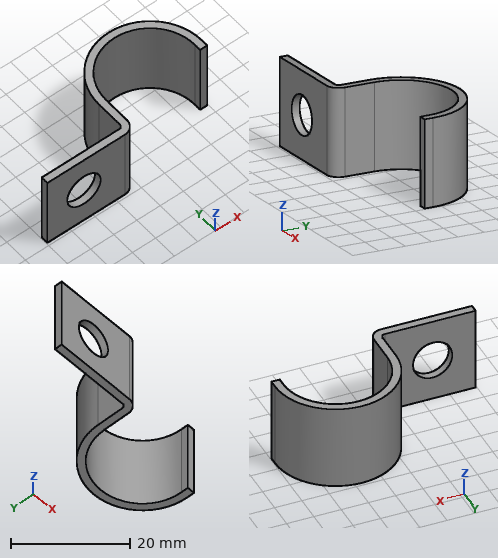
import cadquery as cq

length = 39.6
depth = 18.95
width = 15.88
thickness = 1.55
hoop_radius = 11.1
bend_inner_radius = 0.7
free_end_length = 1.5
hole_diameter = 7.15
hole_from_end = 7.9

hoop_inner_radius = hoop_radius - thickness
hoop_x = length - hoop_radius
hoop_y = depth - hoop_radius
wall_outer_x = hoop_x - hoop_radius
wall_inner_x = wall_outer_x + thickness
free_inner_x = length - thickness
free_end_y = hoop_y - free_end_length
bend_outer_radius = bend_inner_radius + thickness


def strap_body():
    """Bent strip: flat tab, standing wall and half-round hoop with a short free end."""
    outline = (
        cq.Workplane("XY")
        .moveTo(0, 0)
        .lineTo(wall_inner_x, 0)
        .lineTo(wall_inner_x, hoop_y)
        .threePointArc((hoop_x, hoop_y + hoop_inner_radius), (free_inner_x, hoop_y))
        .lineTo(free_inner_x, free_end_y)
        .lineTo(length, free_end_y)
        .lineTo(length, hoop_y)
        .threePointArc((hoop_x, depth), (wall_outer_x, hoop_y))
        .lineTo(wall_outer_x, thickness)
        .lineTo(0, thickness)
        .close()
    )
    return outline.extrude(width)


def round_bend(body):
    """Round both sides of the corner between tab and wall about one centre."""
    outer_corner = cq.selectors.NearestToPointSelector((wall_inner_x, 0, width / 2))
    inner_corner = cq.selectors.NearestToPointSelector((wall_outer_x, thickness, width / 2))
    body = body.edges("|Z").edges(outer_corner).fillet(bend_outer_radius)
    return body.edges("|Z").edges(inner_corner).fillet(bend_inner_radius)


def screw_hole():
    """Cutter for the round hole through the tab, centred across the width."""
    return (
        cq.Workplane("XZ")
        .center(hole_from_end, width / 2)
        .circle(hole_diameter / 2)
        .extrude(-thickness)
    )


result = round_bend(strap_body()).cut(screw_hole())